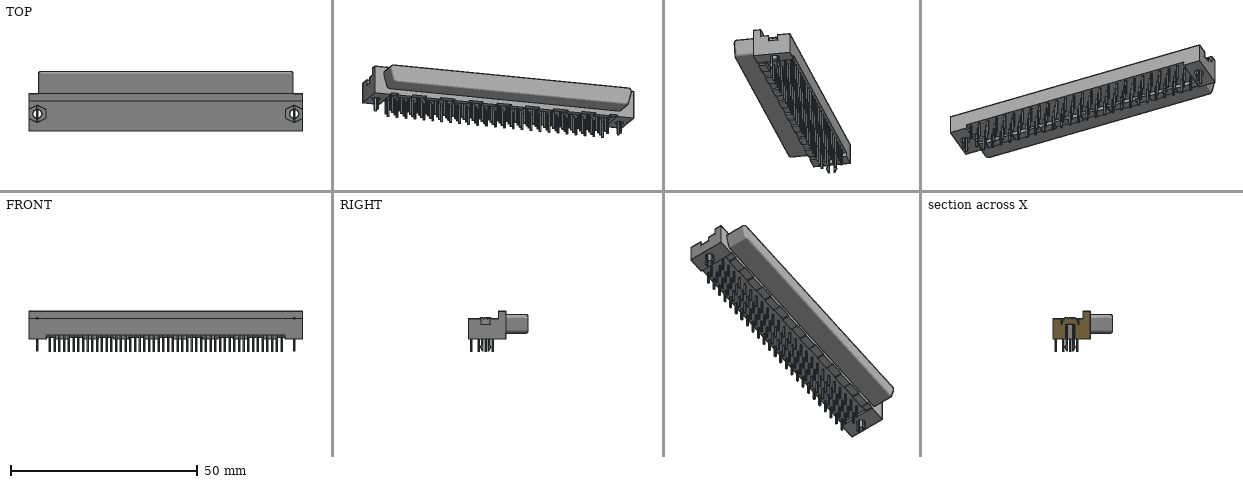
import cadquery as cq
import math


LENGTH = 73.55
HOUSING_DEPTH = 10.1
FLANGE_HEIGHT = 7.5
FLANGE_THICKNESS = 2.05
SHELF_HEIGHT = 5.5

RELIEF_LENGTH = 64.1
PIN_RELIEF = 1.1
FLANGE_RELIEF = 0.45

PAD_COUNT = 8
PAD_PITCH = 8.0
PAD_LENGTH = 4.05

PLUG_LENGTH = 68.5
PLUG_DEPTH = 5.95
PLUG_HEIGHT = 5.1
PLUG_TOP_INSET = 0.9
PLUG_TOP = FLANGE_HEIGHT - PLUG_TOP_INSET
PLUG_SIDE_ANGLE = 15.0
PLUG_CORNER_RADIUS = 1.0
PLUG_EDGE_RADIUS = 0.65

ROW_COUNT = 4
PINS_PER_ROW = 25
CONTACT_SPAN = 62.2
HALF_STEP = CONTACT_SPAN / (2 * PINS_PER_ROW - 1)
PIN_STEP = 2 * HALF_STEP
PIN_SIZE = 0.41
PIN_DROP = 3.3
ROW_PITCH = 1.9
FIRST_ROW_Y = 0.8
PIN_EMBED = 1.5

MOUNT_INSET = 2.3
MOUNT_Y = 4.6
MOUNT_HOLE_DIAMETER = 2.35
POCKET_DEPTH = 1.55
POCKET_HALF_WIDTH = 2.35
POCKET_HALF_LENGTH = 2.35
POCKET_HALF_SIDE = 1.2

CLIP_THICKNESS = 0.45
CLIP_RISE = 0.3
CROWN_HALF_WIDTH = 1.3
CROWN_TAB_WIDTH = 0.65
SHOULDER_HALF_WIDTH = 2.2
SHOULDER_EDGE = 0.45
LEG_OUTER = 1.1
LEG_INNER = 0.65
LEG_DROP = 3.15
BARB_TOP = 1.55
BARB_PEAK = 2.1
BARB_REACH = 0.3
LEG_TIP_WIDTH = 0.2

FLANGE_FRONT = HOUSING_DEPTH - FLANGE_THICKNESS
POCKET_FLOOR = SHELF_HEIGHT - POCKET_DEPTH
MOUNT_X = LENGTH / 2 - MOUNT_INSET


def box_between(x_center, x_size, y_min, y_max, z_min, z_max):
    """Box centred on x_center, spanning the given Y and Z limits."""
    return (
        cq.Workplane("XY", origin=(x_center, (y_min + y_max) / 2, z_min))
        .box(x_size, y_max - y_min, z_max - z_min, centered=(True, True, False))
    )


def make_housing():
    """Stepped bar: a low shelf in front of a taller flange, relieved underneath."""
    housing = box_between(0, LENGTH, 0, HOUSING_DEPTH, 0, SHELF_HEIGHT)
    housing = housing.union(box_between(0, LENGTH, FLANGE_FRONT, HOUSING_DEPTH, 0, FLANGE_HEIGHT))
    housing = housing.cut(box_between(0, RELIEF_LENGTH, 0, FLANGE_FRONT, 0, PIN_RELIEF))
    housing = housing.cut(box_between(0, RELIEF_LENGTH, FLANGE_FRONT, HOUSING_DEPTH, 0, FLANGE_RELIEF))
    for index in range(PAD_COUNT):
        x = (index - (PAD_COUNT - 1) / 2) * PAD_PITCH
        pad = box_between(x, PAD_LENGTH, FLANGE_FRONT, HOUSING_DEPTH, 0, FLANGE_RELIEF)
        housing = housing.union(pad)
    return housing


def make_plug():
    """D-shaped plug with sides leaning inward towards the bottom and a rounded mating edge."""
    lean = math.radians(PLUG_SIDE_ANGLE)
    corner_overhang = PLUG_CORNER_RADIUS * (math.tan(math.pi / 4 + lean / 2) - 1)
    top_half = PLUG_LENGTH / 2 + corner_overhang
    bottom_half = top_half - PLUG_HEIGHT * math.tan(lean)
    plug_bottom = PLUG_TOP - PLUG_HEIGHT
    return (
        cq.Workplane("XZ", origin=(0, HOUSING_DEPTH, 0))
        .polyline([
            (-top_half, PLUG_TOP),
            (top_half, PLUG_TOP),
            (bottom_half, plug_bottom),
            (-bottom_half, plug_bottom),
        ])
        .close()
        .extrude(-PLUG_DEPTH)
        .edges("|Y")
        .fillet(PLUG_CORNER_RADIUS)
        .faces(">Y")
        .edges()
        .fillet(PLUG_EDGE_RADIUS)
    )


def make_pin_row(row):
    """One row of square contact tails, rooted inside the housing."""
    shift = HALF_STEP / 2 * (-1 if row % 2 == 0 else 1)
    centers = [
        ((index - (PINS_PER_ROW - 1) / 2) * PIN_STEP + shift, FIRST_ROW_Y + row * ROW_PITCH)
        for index in range(PINS_PER_ROW)
    ]
    return (
        cq.Workplane("XY", origin=(0, 0, -PIN_DROP))
        .pushPoints(centers)
        .rect(PIN_SIZE, PIN_SIZE)
        .extrude(PIN_DROP + PIN_EMBED)
    )


def make_mount_cutter(x):
    """Through hole below a hexagonal pocket."""
    hexagon = [
        (0, POCKET_HALF_LENGTH),
        (POCKET_HALF_WIDTH, POCKET_HALF_SIDE),
        (POCKET_HALF_WIDTH, -POCKET_HALF_SIDE),
        (0, -POCKET_HALF_LENGTH),
        (-POCKET_HALF_WIDTH, -POCKET_HALF_SIDE),
        (-POCKET_HALF_WIDTH, POCKET_HALF_SIDE),
    ]
    pocket = (
        cq.Workplane("XY", origin=(x, MOUNT_Y, POCKET_FLOOR))
        .polyline(hexagon)
        .close()
        .extrude(POCKET_DEPTH)
    )
    hole = (
        cq.Workplane("XY", origin=(x, MOUNT_Y, 0))
        .circle(MOUNT_HOLE_DIAMETER / 2)
        .extrude(SHELF_HEIGHT)
    )
    return pocket.union(hole)


def make_clip(x):
    """Flat board lock: a crowned head resting on the pocket floor and two barbed legs."""
    half_profile = [
        (CROWN_TAB_WIDTH / 2, SHELF_HEIGHT + CLIP_RISE),
        (CROWN_TAB_WIDTH / 2, SHELF_HEIGHT),
        (CROWN_HALF_WIDTH - CROWN_TAB_WIDTH, SHELF_HEIGHT),
        (CROWN_HALF_WIDTH - CROWN_TAB_WIDTH, SHELF_HEIGHT + CLIP_RISE),
        (CROWN_HALF_WIDTH, SHELF_HEIGHT + CLIP_RISE),
        (SHOULDER_HALF_WIDTH, POCKET_FLOOR + SHOULDER_EDGE),
        (SHOULDER_HALF_WIDTH, POCKET_FLOOR),
        (LEG_OUTER, POCKET_FLOOR),
        (LEG_OUTER, -BARB_TOP),
        (LEG_OUTER + BARB_REACH, -BARB_PEAK),
        (LEG_INNER + LEG_TIP_WIDTH, -LEG_DROP),
        (LEG_INNER, -LEG_DROP),
        (LEG_INNER, POCKET_FLOOR),
    ]
    mirrored = [(-y, z) for y, z in reversed(half_profile)]
    return (
        cq.Workplane("YZ", origin=(x, MOUNT_Y, 0))
        .polyline(half_profile + mirrored)
        .close()
        .extrude(CLIP_THICKNESS / 2, both=True)
    )


result = make_housing().union(make_plug())
for row_index in range(ROW_COUNT):
    result = result.union(make_pin_row(row_index))
for mount_x in (-MOUNT_X, MOUNT_X):
    result = result.cut(make_mount_cutter(mount_x)).union(make_clip(mount_x))